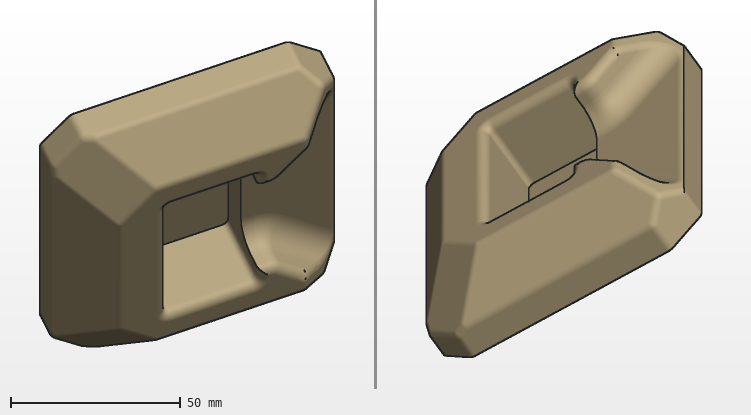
import cadquery as cq
import math

HEIGHT = 25.0
WIDTH = 90.25
LENGTH = 106.2
RIM_HEIGHT = 10.0
CORNER_LEG_PLUS_Y = 10.75
CORNER_LEG_MINUS_Y = 10.0
CORNER_SLOPE_START = 8.9
EDGE_RADIUS = 3.0

POCKET_WIDTH = 30.0
POCKET_LENGTH = 55.2
POCKET_CORNER_RADIUS = 2.0
BACK_SKIN = 0.5

NOTCH_FLOOR = 10.5
NOTCH_HALF_WIDTH = 21.25
NOTCH_BEND_RADIUS = 6.0
NOTCH_BEND_Y = 18.0
NOTCH_FLOOR_RADIUS = 8.0
FLARE_ANGLE = math.radians(45)

HALF_WIDTH = WIDTH / 2
HALF_LENGTH = LENGTH / 2
SLOPE = HEIGHT - RIM_HEIGHT
CLEARANCE = 10.0
TOLERANCE = 0.01


def octagon_block():
    """Block with cut corners, extruded along X."""
    return (
        cq.Workplane("YZ")
        .rect(WIDTH, LENGTH)
        .extrude(HEIGHT)
        .edges("|X")
        .edges(">Y")
        .chamfer(CORNER_LEG_PLUS_Y)
        .edges("|X")
        .edges("<Y")
        .chamfer(CORNER_LEG_MINUS_Y)
    )


def sloped_envelope():
    """Rectangular block whose four front edges slope at 45 degrees down to the rim."""
    return cq.Workplane("YZ").rect(WIDTH, LENGTH).extrude(HEIGHT).faces(">X").chamfer(SLOPE)


def corner_slope_cutter(side):
    """Half space above a -Y corner slope, whose cut keeps the same length up to the front."""
    normal = cq.Vector(2, -1, side)
    origin = cq.Vector(CORNER_SLOPE_START, CORNER_LEG_MINUS_Y - HALF_WIDTH, side * HALF_LENGTH)
    plane = cq.Plane(origin=origin, xDir=(0, 1, side), normal=normal)
    return cq.Workplane(plane).rect(2 * LENGTH, 2 * LENGTH).extrude(HEIGHT)


def pocket_cutter():
    return (
        cq.Workplane("YZ")
        .workplane(offset=BACK_SKIN)
        .rect(POCKET_WIDTH, POCKET_LENGTH)
        .extrude(HEIGHT)
        .edges("|X")
        .fillet(POCKET_CORNER_RADIUS)
    )


def notch_cutter():
    """Straight channel that bends out to a 45 degree flare, with a rounded foot."""
    centre_z = NOTCH_HALF_WIDTH + NOTCH_BEND_RADIUS

    def bend(angle):
        return (
            NOTCH_BEND_Y + NOTCH_BEND_RADIUS * math.sin(angle),
            centre_z - NOTCH_BEND_RADIUS * math.cos(angle),
        )

    bend_y, bend_z = bend(FLARE_ANGLE)
    mid_y, mid_z = bend(FLARE_ANGLE / 2)
    far_y = HALF_WIDTH + CLEARANCE
    far_z = bend_z + (far_y - bend_y) * math.tan(FLARE_ANGLE)
    body = (
        cq.Workplane("YZ")
        .workplane(offset=NOTCH_FLOOR)
        .moveTo(0, -NOTCH_HALF_WIDTH)
        .lineTo(NOTCH_BEND_Y, -NOTCH_HALF_WIDTH)
        .threePointArc((mid_y, -mid_z), (bend_y, -bend_z))
        .lineTo(far_y, -far_z)
        .lineTo(far_y, far_z)
        .lineTo(bend_y, bend_z)
        .threePointArc((mid_y, mid_z), (NOTCH_BEND_Y, NOTCH_HALF_WIDTH))
        .lineTo(0, NOTCH_HALF_WIDTH)
        .close()
        .extrude(HEIGHT)
    )
    return body.faces("<X").edges("not(<Y or >Y)").fillet(NOTCH_FLOOR_RADIUS)


def sharp_block():
    """Sloped octagonal block before any of its edges are rounded."""
    block = octagon_block().intersect(sloped_envelope())
    for side in (-1, 1):
        block = block.cut(corner_slope_cutter(side))
    return block


def round_outer_edges(block):
    """Round every edge except those of the back and the +Y rim, which the notch opens through."""

    def is_outer(edge):
        centre = edge.Center()
        on_back = centre.x < TOLERANCE
        on_notch_rim = centre.y > HALF_WIDTH - TOLERANCE and abs(centre.x - RIM_HEIGHT) < TOLERANCE
        return not (on_back or on_notch_rim)

    edges = [edge for edge in block.edges().vals() if is_outer(edge)]
    return block.newObject(edges).fillet(EDGE_RADIUS)


def round_opening_edges(block):
    """Round the mouth of the pocket and notch, and the outer edge of the notch floor."""
    mouth_min_y = -POCKET_WIDTH / 2 - TOLERANCE
    mouth_max_y = HALF_WIDTH - SLOPE - EDGE_RADIUS
    mouth_max_z = HALF_LENGTH - SLOPE - EDGE_RADIUS
    floor_edge_y = HALF_WIDTH - (NOTCH_FLOOR - RIM_HEIGHT)

    def is_opening(edge):
        centre = edge.Center()
        on_front = centre.x > HEIGHT - TOLERANCE
        in_mouth_y = mouth_min_y < centre.y < mouth_max_y
        on_mouth = on_front and in_mouth_y and abs(centre.z) < mouth_max_z
        at_floor = abs(centre.x - NOTCH_FLOOR) < TOLERANCE
        on_floor_edge = at_floor and abs(centre.y - floor_edge_y) < TOLERANCE
        return on_mouth or on_floor_edge

    edges = [edge for edge in block.edges().vals() if is_opening(edge)]
    return block.newObject(edges).fillet(EDGE_RADIUS)


rounded_block = round_outer_edges(sharp_block())
opened_block = rounded_block.cut(notch_cutter()).cut(pocket_cutter())
result = round_opening_edges(opened_block)